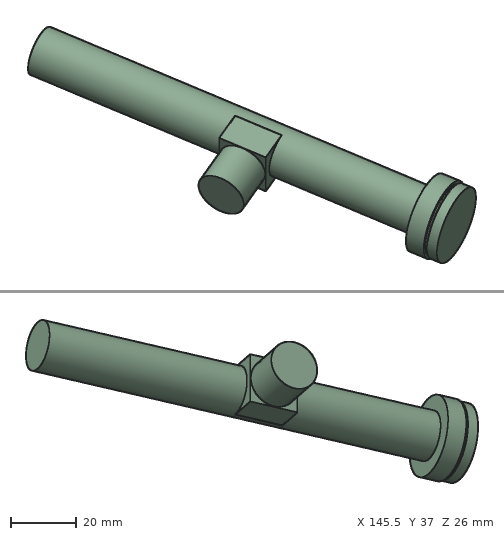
import cadquery as cq

total_length = 145.5
total_depth = 37.0

bar_diameter = 16.0

flange_diameter = 26.0
flange_width = 6.3
groove_diameter = 24.0
groove_width = 0.9
cap_diameter = 25.2
cap_width = 3.5

branch_x = 76.2
block_size = 16.3
block_reach = 10.2
stub_diameter = 15.9
stub_reach = total_depth - flange_diameter / 2

head_width = flange_width + groove_width + cap_width
head_start = total_length - head_width


def disc_along_x(start, diameter, width):
    """Cylinder centred on the bar axis, starting at the given X."""
    return cq.Workplane("YZ", origin=(start, 0, 0)).circle(diameter / 2).extrude(width)


bar = disc_along_x(0, bar_diameter, head_start)
flange = disc_along_x(head_start, flange_diameter, flange_width)
groove = disc_along_x(head_start + flange_width, groove_diameter, groove_width)
cap = disc_along_x(total_length - cap_width, cap_diameter, cap_width)

branch_plane = cq.Workplane("XZ", origin=(branch_x, 0, 0))
block = branch_plane.rect(block_size, block_size).extrude(block_reach)
stub = branch_plane.circle(stub_diameter / 2).extrude(stub_reach)

result = bar.union(flange).union(groove).union(cap).union(block).union(stub)